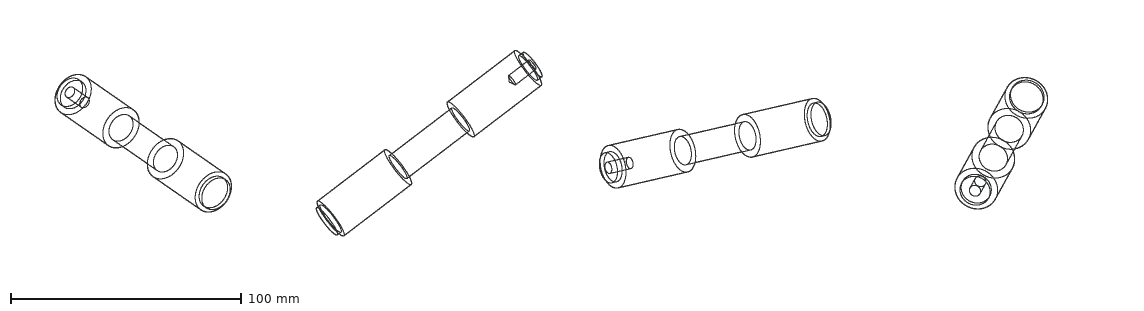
import cadquery as cq
import math

total_length = 114.6
body_diameter = 19.0
body_length = 37.6

left_spigot_diameter = 13.4
left_spigot_length = 2.5
right_spigot_diameter = 14.9
right_spigot_length = 2.1

neck_diameter = 12.6
neck_length = total_length - left_spigot_length - right_spigot_length - 2 * body_length

hole_diameter = 5.0
hole_depth = 11.5
drill_point_angle = 118.0

left_end = -total_length / 2


def build_shaft():
    """Stack the coaxial cylinders from the left end to the right end."""
    sections = [
        (left_spigot_diameter, left_spigot_length),
        (body_diameter, body_length),
        (neck_diameter, neck_length),
        (body_diameter, body_length),
        (right_spigot_diameter, right_spigot_length),
    ]
    shaft = cq.Workplane("YZ")
    start = left_end
    for diameter, length in sections:
        section = cq.Workplane("YZ", origin=(start, 0, 0)).circle(diameter / 2).extrude(length)
        shaft = shaft.add(section)
        start += length
    return shaft.combine()


def build_drilled_hole():
    """Revolve the half profile of a drilled hole with its conical bottom."""
    radius = hole_diameter / 2
    point_length = radius / math.tan(math.radians(drill_point_angle / 2))
    bottom = left_end + hole_depth
    profile = (
        cq.Workplane("XY")
        .moveTo(left_end, 0)
        .lineTo(left_end, radius)
        .lineTo(bottom, radius)
        .lineTo(bottom + point_length, 0)
        .close()
    )
    return profile.revolve(360, (0, 0, 0), (1, 0, 0))


result = build_shaft().cut(build_drilled_hole())